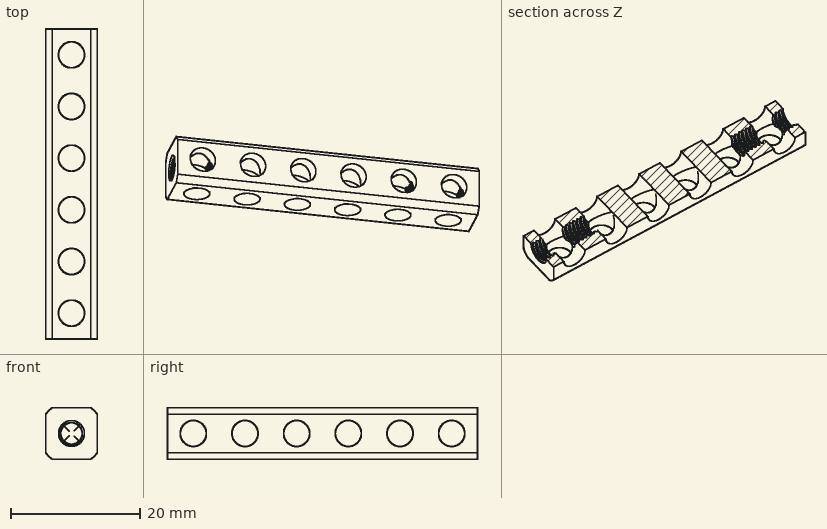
import cadquery as cq
import math

length = 48.0
hole_count = 6
hole_spacing = length / hole_count
width = hole_spacing
stock_diameter = 1.25 * width

hole_diameter = width / 2
first_hole_y = (hole_spacing - length) / 2

lead_in_diameter = hole_diameter
thread_major = 3.95
thread_minor = 3.3
thread_pitch = 0.7
thread_crest = thread_pitch / 4
thread_root = thread_pitch / 8
groove_overlap = 0.05
thread_depth = 1.5 * hole_spacing
thread_turns = math.ceil(thread_depth / thread_pitch)


def bar_blank():
    """Square bar whose long edges keep the round surface of the stock."""
    bar = cq.Workplane("XY").box(width, length, width)
    stock = cq.Workplane("XZ").circle(stock_diameter / 2).extrude(length / 2, both=True)
    return bar.intersect(stock)


def cross_holes(plane, row_points):
    """Row of through holes normal to the given plane."""
    return (
        cq.Workplane(plane)
        .pushPoints(row_points)
        .circle(hole_diameter / 2)
        .extrude(width, both=True)
    )


def thread_groove():
    """Right-handed V groove climbing along +Z from the origin."""
    minor_radius = thread_minor / 2
    major_radius = thread_major / 2
    inner_radius = minor_radius - groove_overlap
    half_mouth = (thread_pitch - thread_crest) / 2
    half_root = thread_root / 2
    path = cq.Wire.makeHelix(thread_pitch, thread_pitch * thread_turns, minor_radius)
    profile = cq.Workplane("XZ").polyline([
        (inner_radius, -half_mouth),
        (major_radius, -half_root),
        (major_radius, half_root),
        (inner_radius, half_mouth),
    ]).close()
    return profile.sweep(cq.Workplane(obj=path), isFrenet=True)


def threaded_hole():
    """Tapped hole running from the -Y end face into the second cross hole."""
    minor_radius = thread_minor / 2
    lead_in_radius = lead_in_diameter / 2
    lead_in_depth = lead_in_radius - minor_radius
    bore = cq.Workplane("XZ").polyline([
        (0, 0),
        (lead_in_radius, 0),
        (minor_radius, lead_in_depth),
        (minor_radius, thread_depth),
        (0, thread_depth),
    ]).close().revolve(360, (0, 0), (0, 1))
    groove = thread_groove().translate((0, 0, -thread_pitch))
    return (
        bore.union(groove)
        .rotate((0, 0, 0), (1, 0, 0), -90)
        .translate((0, -length / 2, 0))
    )


hole_rows = [first_hole_y + index * hole_spacing for index in range(hole_count)]
tapped_hole = threaded_hole()

result = (
    bar_blank()
    .cut(tapped_hole)
    .cut(tapped_hole.rotate((0, 0, 0), (0, 0, 1), 180))
    .cut(cross_holes("XY", [(0, y) for y in hole_rows]))
    .cut(cross_holes("YZ", [(y, 0) for y in hole_rows]))
)